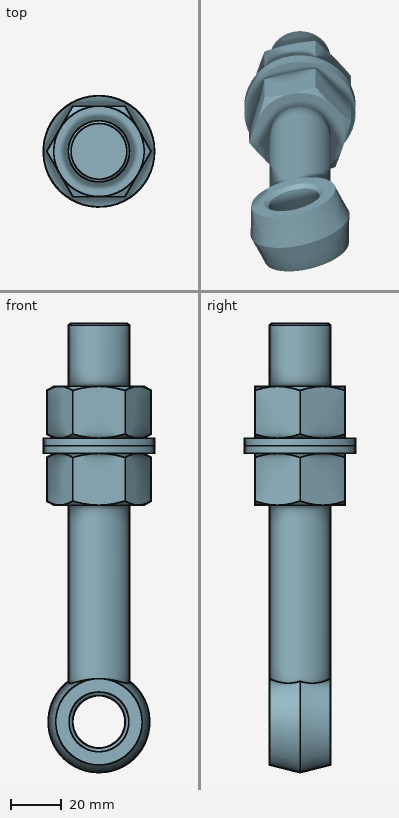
import cadquery as cq
import math

bolt_length = 177.0
shank_diameter = 24.0
shank_radius = shank_diameter / 2
tip_diameter = 22.0
tip_chamfer_height = 0.9
eye_diameter = 40.0
eye_radius = eye_diameter / 2
eye_width = shank_diameter
eye_face_diameter = 34.0
eye_bore_diameter = 20.5
eye_bore_mouth_diameter = 23.5
eye_bore_chamfer = (eye_bore_mouth_diameter - eye_bore_diameter) / 2

nut_sides = 6
nut_across_flats = 35.5
nut_height = 20.3
nut_chamfer_angle = 30.0
washer_diameter = 43.9
washer_thickness = 3.0
stack_bottom = 105.3

lower_washer_bottom = stack_bottom + nut_height
upper_washer_bottom = lower_washer_bottom + washer_thickness
upper_nut_bottom = upper_washer_bottom + washer_thickness
nut_bottoms = [stack_bottom, upper_nut_bottom]
washer_bottoms = [lower_washer_bottom, upper_washer_bottom]


def make_shank():
    """Round shank from the eye centre, on the Z axis, up to a chamfered tip."""
    return (
        cq.Workplane("XZ")
        .moveTo(0, eye_radius)
        .lineTo(shank_radius, eye_radius)
        .lineTo(shank_radius, bolt_length - tip_chamfer_height)
        .lineTo(tip_diameter / 2, bolt_length)
        .lineTo(0, bolt_length)
        .close()
        .revolve(360, (0, 0), (0, 1))
    )


def revolve_about_eye_axis(profile_points):
    """Turn an (axial, radial) profile about the Y axis through the eye centre."""
    return (
        cq.Workplane("YZ", origin=(0, 0, eye_radius))
        .polyline(profile_points)
        .close()
        .revolve(360, (0, 0), (1, 0))
    )


def make_eye_blank():
    """Disc along Y that tapers from a mid-plane ridge to both flat faces."""
    half_width = eye_width / 2
    return revolve_about_eye_axis([
        (-half_width, 0),
        (-half_width, eye_face_diameter / 2),
        (0, eye_radius),
        (half_width, eye_face_diameter / 2),
        (half_width, 0),
    ])


def make_eye_bore():
    """Cutter for the through bore with a 45 degree chamfer at both mouths."""
    half_width = eye_width / 2
    bore_radius = eye_bore_diameter / 2
    mouth_radius = eye_bore_mouth_diameter / 2
    return revolve_about_eye_axis([
        (-half_width, 0),
        (-half_width, mouth_radius),
        (-half_width + eye_bore_chamfer, bore_radius),
        (half_width - eye_bore_chamfer, bore_radius),
        (half_width, mouth_radius),
        (half_width, 0),
    ])


def make_eye_bolt():
    """Shank and eye as one body, bored through the eye."""
    return make_shank().union(make_eye_blank()).cut(make_eye_bore()).solids()


def make_nut(bottom):
    """Hexagon nut with corners along X, both ends chamfered by a cone."""
    flat_radius = nut_across_flats / 2
    corner_radius = flat_radius / math.cos(math.pi / nut_sides)
    chamfer_height = (corner_radius - flat_radius) * math.tan(math.radians(nut_chamfer_angle))
    hexagon = (
        cq.Workplane("XY", origin=(0, 0, bottom))
        .polygon(nut_sides, 2 * corner_radius)
        .extrude(nut_height)
    )
    chamfer_envelope = (
        cq.Workplane("XZ", origin=(0, 0, bottom))
        .polyline([
            (0, 0),
            (flat_radius, 0),
            (corner_radius, chamfer_height),
            (corner_radius, nut_height - chamfer_height),
            (flat_radius, nut_height),
            (0, nut_height),
        ])
        .close()
        .revolve(360, (0, 0), (0, 1))
    )
    return hexagon.intersect(chamfer_envelope).faces(">Z").workplane().hole(shank_diameter).solids()


def make_washer(bottom):
    """Plain flat ring that fits the shank."""
    return (
        cq.Workplane("XY", origin=(0, 0, bottom))
        .circle(washer_diameter / 2)
        .circle(shank_radius)
        .extrude(washer_thickness)
    )


eye_bolt = make_eye_bolt()
nuts = [make_nut(bottom).val() for bottom in nut_bottoms]
washers = [make_washer(bottom).val() for bottom in washer_bottoms]

result = cq.Compound.makeCompound([eye_bolt.val(), *nuts, *washers])